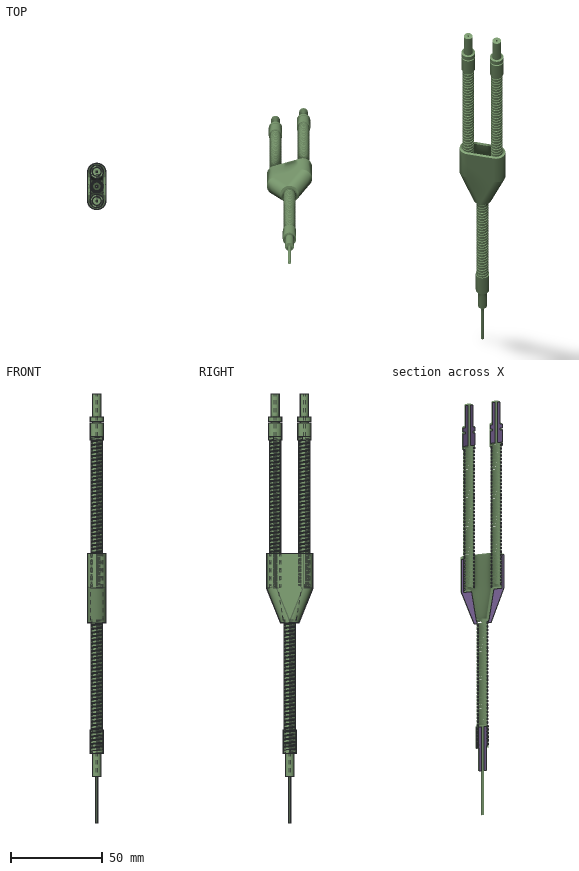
import cadquery as cq
import math


overall_length = 235.05

housing_thickness = 10.16
housing_width = 25.4
housing_height = 38.1
housing_wall = 1.524
taper_height = housing_height / 2
taper_bottom_half_width = housing_thickness / 2
pocket_draft = 9.4

cable_radius = 3.175
cable_step_radius = 2.75
cable_clearance = 0.127
strip_pitch = 2.032
strip_inner_width = 1.9
strip_outer_width = 1.5
upper_cable_exposed_length = 62.0

collar_radius = 3.7
collar_length = 12.7
post_radius = 2.38
post_length = 12.7
bore_radius = 0.5
groove_offset = 2.54
groove_width = 0.762
end_ring_length = 5.08
needle_radius = 0.8
needle_exposed_length = 25.4

cable_inner_radius = post_radius
loose_hole_radius = cable_radius + cable_clearance
housing_end_radius = housing_thickness / 2
pocket_end_radius = housing_end_radius - housing_wall
end_center_offset = housing_width / 2 - housing_end_radius
cable_offset = end_center_offset + pocket_end_radius - cable_radius
pocket_floor = housing_wall
cable_ledge = taper_height

ferrule_bottom = housing_height + upper_cable_exposed_length
sleeve_length = collar_length - end_ring_length
ferrule_socket_depth = strip_pitch
upper_cable_end = ferrule_bottom + ferrule_socket_depth
needle_tip = ferrule_bottom + collar_length + post_length - overall_length
post_bottom = needle_tip + needle_exposed_length
end_ring_bottom = post_bottom + post_length
sleeve_bottom = end_ring_bottom + end_ring_length
sleeve_top = sleeve_bottom + sleeve_length


def cylinder(radius, bottom, height):
    return cq.Workplane("XY", origin=(0, 0, bottom)).circle(radius).extrude(height)


def make_housing_outline():
    """Stadium prism whose two ends taper inwards below mid-height, full-round all the way down."""
    outline = cq.Workplane("XY").slot2D(housing_width, housing_thickness, 90).extrude(housing_height)
    taper_angle = math.degrees(math.atan2(housing_width / 2 - taper_bottom_half_width, taper_height))
    slab_width = 4 * housing_width
    slab_height = 4 * housing_height
    for side in (-1, 1):
        slab_center = side * (taper_bottom_half_width - slab_width / 2)
        taper_slab = (
            cq.Workplane("XY", origin=(0, slab_center, -slab_height / 2))
            .slot2D(slab_width, housing_thickness, 90)
            .extrude(slab_height)
        )
        hinge = (0, side * taper_bottom_half_width, 0)
        hinge_end = (1, side * taper_bottom_half_width, 0)
        outline = outline.intersect(taper_slab.rotate(hinge, hinge_end, -side * taper_angle))
    return outline


def make_housing():
    """Open-topped shell: stadium pocket down to the cable ledge, then a drafted pocket to the floor."""
    upper_pocket = (
        cq.Workplane("XY", origin=(0, 0, cable_ledge))
        .slot2D(2 * (end_center_offset + pocket_end_radius), 2 * pocket_end_radius, 90)
        .extrude(housing_height - cable_ledge)
    )
    ledge_half_width = pocket_end_radius + (cable_ledge - pocket_floor) * math.tan(math.radians(pocket_draft))
    lower_pocket = (
        cq.Workplane("YZ")
        .polyline(
            [
                (-pocket_end_radius, pocket_floor),
                (pocket_end_radius, pocket_floor),
                (ledge_half_width, cable_ledge),
                (-ledge_half_width, cable_ledge),
            ]
        )
        .close()
        .extrude(pocket_end_radius, both=True)
    )
    cable_opening = cylinder(loose_hole_radius, 0, pocket_floor)
    return make_housing_outline().cut(upper_pocket).cut(lower_pocket).cut(cable_opening)


def make_cable(bottom, top):
    """Right-handed helical strip: a wide inner band with a narrower outer band centred on it."""
    step_low = (strip_inner_width - strip_outer_width) / 2
    step_high = step_low + strip_outer_width
    strip = (
        cq.Workplane("XZ")
        .polyline(
            [
                (cable_inner_radius, 0),
                (cable_step_radius, 0),
                (cable_step_radius, step_low),
                (cable_radius, step_low),
                (cable_radius, step_high),
                (cable_step_radius, step_high),
                (cable_step_radius, strip_inner_width),
                (cable_inner_radius, strip_inner_width),
            ]
        )
        .close()
    )
    helix = cq.Wire.makeHelix(strip_pitch, top - bottom - strip_inner_width, cable_step_radius)
    return strip.sweep(cq.Workplane(helix), isFrenet=True).translate((0, 0, bottom))


def make_ferrule():
    """Collar with a groove near its upper shoulder and a post on top; the cable enters from below."""
    collar_top = ferrule_bottom + collar_length
    groove_top = collar_top - groove_offset
    groove_bottom = groove_top - groove_width
    core = cylinder(post_radius, ferrule_bottom, collar_length + post_length)
    lower_collar = cylinder(collar_radius, ferrule_bottom, groove_bottom - ferrule_bottom)
    shoulder = cylinder(collar_radius, groove_top, groove_offset)
    cable_socket = cylinder(cable_radius, ferrule_bottom, ferrule_socket_depth)
    bore = cylinder(bore_radius, ferrule_bottom, collar_length + post_length)
    return core.union(lower_collar).union(shoulder).cut(cable_socket).cut(bore)


def make_loose_ring(bottom, length):
    """Ring around the lower cable."""
    return cylinder(collar_radius, bottom, length).cut(cylinder(loose_hole_radius, bottom, length))


def make_needle():
    """Needle with a thicker post above it that reaches up inside the lower cable; bored through."""
    needle = cylinder(needle_radius, needle_tip, needle_exposed_length)
    post = cylinder(post_radius, post_bottom, sleeve_top - post_bottom)
    bore = cylinder(bore_radius, needle_tip, sleeve_top - needle_tip)
    return needle.union(post).cut(bore)


housing = make_housing()
lower_cable = make_cable(end_ring_bottom, pocket_floor)
end_ring = make_loose_ring(end_ring_bottom, end_ring_length)
sleeve = make_loose_ring(sleeve_bottom, sleeve_length)
needle = make_needle()

upper_cables = []
ferrules = []
for side in (-1, 1):
    branch = (0, side * cable_offset, 0)
    upper_cables.append(make_cable(cable_ledge, upper_cable_end).translate(branch))
    ferrules.append(make_ferrule().translate(branch))

bodies = [housing, lower_cable, end_ring, sleeve, needle, *upper_cables, *ferrules]
result = cq.Compound.makeCompound([body.val() for body in bodies])